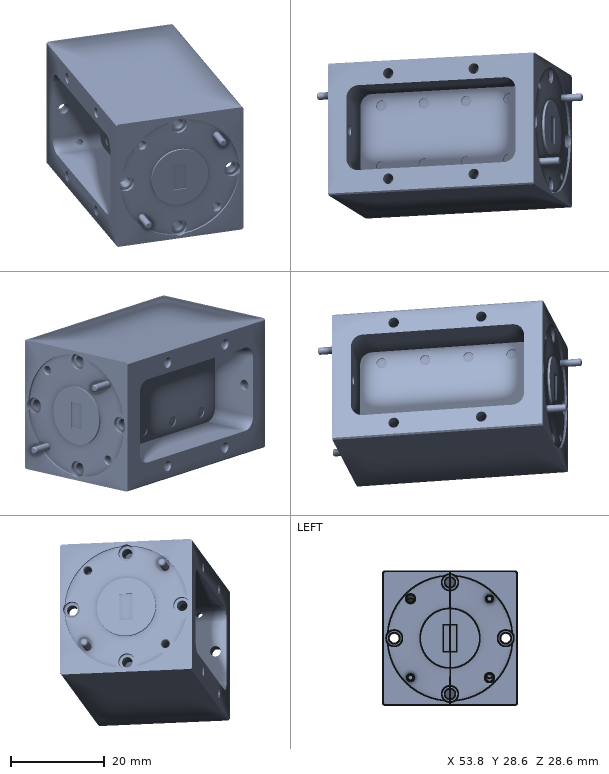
import cadquery as cq
import math

total_length = 53.85
block_length = 45.7
block_side = 28.6
edge_chamfer = 0.3

groove_outer_diameter = 26.7
boss_diameter = 12.7
groove_depth = 0.5
waveguide_width = 2.85
waveguide_height = 5.7
waveguide_depth = 0.2
bolt_circle_diameter = 23.8
bolt_hole_diameter = 2.25
bolt_hole_depth = 5.4
counterbore_diameter = 3.5
counterbore_depth = 1.3

pin_diameter = 1.55
pin_chamfer = 0.2
pin_hole_depth = 4.2
socket_diameter = 1.7
socket_depth = 4.5
socket_chamfer = 0.15

pocket_length = 37.6
pocket_height = 18.4
pocket_depth = 10.6
pocket_corner_radius = 2.6
floor_hole_diameter = 2.25
floor_hole_depth = 0.25
floor_hole_columns = 4
floor_hole_rows = 2
floor_hole_pitch = 9.4
floor_hole_row_gap = 13.1

cover_hole_diameter = 2.25
cover_hole_depth = 5.4
cover_hole_spacing_x = 19.0
cover_hole_spacing_z = 22.9
drill_tip_angle = 118.0

end_x = -block_length / 2
side_y = -block_side / 2
bolt_radius = bolt_circle_diameter / 2
pin_offset = bolt_radius * math.sqrt(0.5)
pin_projection = (total_length - block_length) / 2


def end_plane():
    """Sketch plane on the -X face; extrudes go into the block."""
    return cq.Workplane("YZ", origin=(end_x, 0, 0))


def side_plane(depth=0):
    """Sketch plane parallel to the -Y face, the given depth inside it; extrudes go out of the block."""
    return cq.Workplane("XZ", origin=(0, side_y + depth, 0))


def half_turn(shape):
    """Copy turned by 180 degrees about Z, which maps each end and each half onto the other."""
    return shape.rotate((0, 0, 0), (0, 0, 1), 180)


def drilled_hole(diameter, depth, start, direction):
    """Cutter for a blind hole that ends in a drill-tip cone."""
    radius = diameter / 2
    tip_length = radius / math.tan(math.radians(drill_tip_angle / 2))
    origin = cq.Vector(*start)
    axis = cq.Vector(*direction)
    barrel = cq.Solid.makeCylinder(radius, depth, origin, axis)
    tip = cq.Solid.makeCone(radius, 0, tip_length, origin + axis * depth, axis)
    return cq.Workplane(barrel.fuse(tip))


def socket(y, z):
    """Cutter for a drilled pin socket whose mouth is chamfered at the groove floor."""
    mouth_radius = socket_diameter / 2 + socket_chamfer
    mouth = cq.Solid.makeCone(
        mouth_radius,
        0,
        mouth_radius,
        cq.Vector(end_x + groove_depth, y, z),
        cq.Vector(1, 0, 0),
    )
    hole = drilled_hole(socket_diameter, socket_depth, (end_x, y, z), (1, 0, 0))
    return hole.union(cq.Workplane(mouth))


def flange_cutters():
    """Everything cut into the -X flange face."""
    groove = (
        end_plane().circle(groove_outer_diameter / 2).circle(boss_diameter / 2).extrude(groove_depth)
    )
    waveguide = end_plane().rect(waveguide_width, waveguide_height).extrude(waveguide_depth)

    bolt_places = [(bolt_radius, 0), (-bolt_radius, 0), (0, bolt_radius), (0, -bolt_radius)]
    bolt_holes = (
        end_plane().pushPoints(bolt_places).circle(bolt_hole_diameter / 2).extrude(bolt_hole_depth)
    )
    counterbores = (
        end_plane().pushPoints(bolt_places).circle(counterbore_diameter / 2).extrude(counterbore_depth)
    )

    pin_places = [(-pin_offset, pin_offset), (pin_offset, -pin_offset)]
    pin_holes = [
        drilled_hole(pin_diameter, pin_hole_depth, (end_x, y, z), (1, 0, 0)) for y, z in pin_places
    ]

    socket_places = [(pin_offset, pin_offset), (-pin_offset, -pin_offset)]
    sockets = [socket(y, z) for y, z in socket_places]
    return [groove, waveguide, bolt_holes, counterbores, *pin_holes, *sockets]


def pocket_cutters():
    """Everything cut into the -Y side face."""
    pocket = (
        side_plane()
        .rect(pocket_length, pocket_height)
        .extrude(-pocket_depth)
        .edges("|Y")
        .fillet(pocket_corner_radius)
    )
    floor_holes = (
        side_plane(pocket_depth)
        .rarray(floor_hole_pitch, floor_hole_row_gap, floor_hole_columns, floor_hole_rows)
        .circle(floor_hole_diameter / 2)
        .extrude(-floor_hole_depth)
    )
    cutters = [pocket, floor_holes]
    for x in (-cover_hole_spacing_x / 2, cover_hole_spacing_x / 2):
        for z in (-cover_hole_spacing_z / 2, cover_hole_spacing_z / 2):
            cutters.append(
                drilled_hole(cover_hole_diameter, cover_hole_depth, (x, side_y, z), (0, 1, 0))
            )
    return cutters


def make_block_half():
    """The -Y half of the block, split along the plane Y = 0."""
    half = (
        cq.Workplane("XY")
        .box(block_length, block_side / 2, block_side)
        .translate((0, side_y / 2, 0))
        .edges("|X and <Y")
        .chamfer(edge_chamfer)
    )
    for cutter in pocket_cutters():
        half = half.cut(cutter)
    for cutter in flange_cutters():
        half = half.cut(cutter).cut(half_turn(cutter))
    return half


def make_pin(y, z):
    """Alignment pin in the -X end, with a chamfered outer tip."""
    return (
        cq.Workplane("YZ", origin=(-total_length / 2, y, z))
        .circle(pin_diameter / 2)
        .extrude(pin_projection + pin_hole_depth)
        .faces("<X")
        .chamfer(pin_chamfer)
    )


front_half = make_block_half()
back_half = half_turn(front_half)

pins = []
for side in (1, -1):
    left_pin = make_pin(-side * pin_offset, side * pin_offset)
    pins += [left_pin.val(), half_turn(left_pin).val()]

result = cq.Compound.makeCompound([front_half.val(), back_half.val(), *pins])